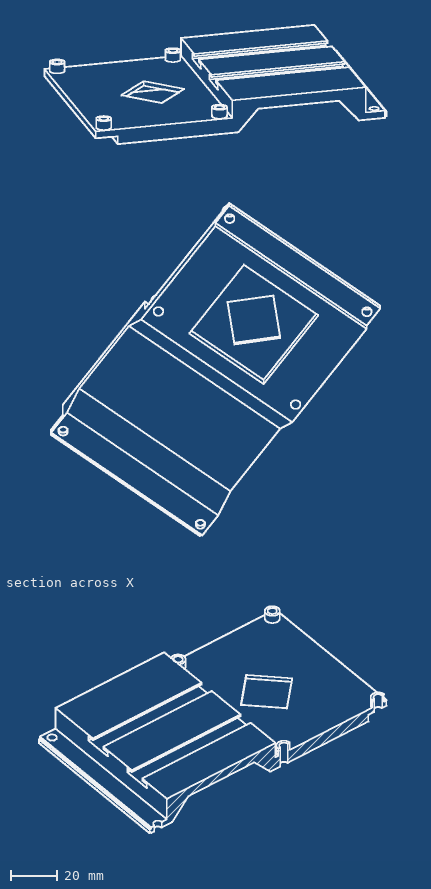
import cadquery as cq

width = 81.2
length = 131.0
height = 15.0

plate_top = 7.0
front_step_length = 10.0
front_step_height = 3.7
block_front = 61.5
block_length = 60.0
block_back = block_front + block_length
flange_thickness = 3.4
tunnel_front = 64.2
tunnel_back = 118.3
tunnel_height = 10.0
tunnel_slope_run = 8.9

tongue_length = 0.9
tongue_width = 80.2
tongue_bottom = 0.5
tongue_height = 2.1
body_length = length - tongue_length

slot_centers = (-16.1, 11.0)
slot_opening = 7.1
slot_width = 13.5
slot_lip = 1.0
slot_depth = 3.3

hole_diameter = 4.0
boss_diameter = 6.5
boss_height = 4.0
hole_x = 36.8
front_hole_y = 4.7
middle_hole_y = 56.7
back_hole_y = 126.3

window_side = 20.0
window_y = 37.2

recess_side = 40.0
window_skin = 2.1


def mirrored_points(*rows):
    """Points on both sides of the YZ plane at each Y in rows."""
    return [(side * hole_x, y) for y in rows for side in (-1, 1)]


def make_body():
    profile = [
        (0, front_step_height),
        (0, plate_top),
        (block_front, plate_top),
        (block_front, height),
        (block_back, height),
        (block_back, flange_thickness),
        (body_length, flange_thickness),
        (body_length, 0),
        (tunnel_back, 0),
        (tunnel_back - tunnel_slope_run, tunnel_height),
        (tunnel_front + tunnel_slope_run, tunnel_height),
        (tunnel_front, 0),
        (front_step_length, 0),
        (front_step_length, front_step_height),
    ]
    return cq.Workplane("YZ").polyline(profile).close().extrude(width / 2, both=True)


def make_tongue():
    return (
        cq.Workplane("XY")
        .box(tongue_width, 2 * tongue_length, tongue_height, centered=(True, True, False))
        .translate((0, body_length, tongue_bottom))
    )


def make_t_slot(center_x):
    centered = (True, False, False)
    opening = cq.Workplane("XY").box(slot_opening, block_length, slot_depth, centered=centered)
    channel = cq.Workplane("XY").box(slot_width, block_length, slot_depth - slot_lip, centered=centered)
    return opening.union(channel).translate((center_x, block_front, height - slot_depth))


def make_bosses():
    return (
        cq.Workplane("XY")
        .workplane(offset=front_step_height)
        .pushPoints(mirrored_points(front_hole_y, middle_hole_y))
        .circle(boss_diameter / 2)
        .extrude(plate_top + boss_height - front_step_height)
    )


def make_holes():
    return (
        cq.Workplane("XY")
        .pushPoints(mirrored_points(front_hole_y, middle_hole_y, back_hole_y))
        .circle(hole_diameter / 2)
        .extrude(height)
    )


def make_window():
    return (
        cq.Workplane("XY")
        .rect(window_side, window_side)
        .extrude(height)
        .rotate((0, 0, 0), (0, 0, 1), 45)
        .translate((0, window_y, 0))
    )


def make_recess():
    return (
        cq.Workplane("XY")
        .center(0, window_y)
        .rect(recess_side, recess_side)
        .extrude(plate_top - window_skin)
    )


result = make_body().union(make_tongue()).union(make_bosses())
for slot_x in slot_centers:
    result = result.cut(make_t_slot(slot_x))
result = result.cut(make_holes()).cut(make_window()).cut(make_recess())